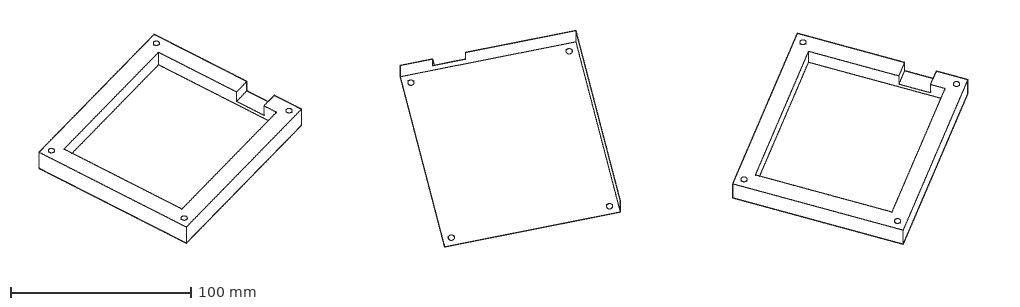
import cadquery as cq

length_x = 100.0
length_y = 111.0
height = 13.0

wall = 10.0
floor_thickness = 3.0

notch_width = 18.5
notch_center_x = 22.2
notch_depth = 7.5

hole_diameter = 3.4
hole_inset = wall / 2


def make_body():
    """Solid block resting on Z = 0, centred on X and Y."""
    return cq.Workplane("XY").box(length_x, length_y, height, centered=(True, True, False))


def make_pocket():
    """Rectangular cavity, open at the top."""
    return (
        cq.Workplane("XY")
        .workplane(offset=floor_thickness)
        .rect(length_x - 2 * wall, length_y - 2 * wall)
        .extrude(height - floor_thickness)
    )


def make_notch():
    """Slot from the pocket out through the +Y wall, open at the top."""
    return (
        cq.Workplane("XY")
        .workplane(offset=height - notch_depth)
        .center(notch_center_x, (length_y - wall) / 2)
        .rect(notch_width, wall)
        .extrude(notch_depth)
    )


def make_screw_holes():
    """Four through holes at the corners."""
    return (
        cq.Workplane("XY")
        .rect(length_x - 2 * hole_inset, length_y - 2 * hole_inset, forConstruction=True)
        .vertices()
        .circle(hole_diameter / 2)
        .extrude(height)
    )


result = make_body().cut(make_pocket()).cut(make_notch()).cut(make_screw_holes())